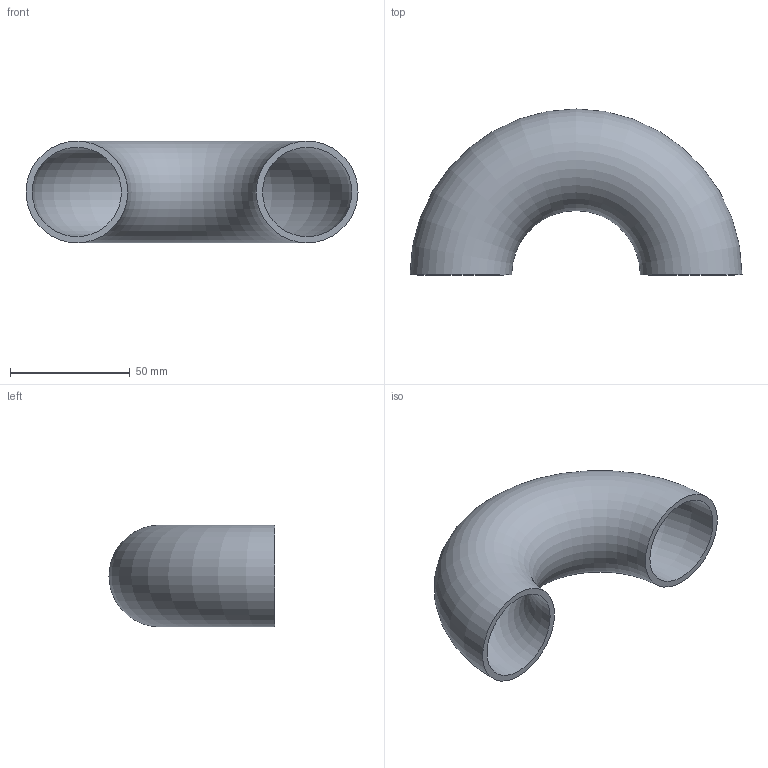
import cadquery as cq

tube_outer_diameter = 42.4
wall_thickness = 2.6
bend_radius = 48.0
bend_angle = 180.0

tube_inner_diameter = tube_outer_diameter - 2 * wall_thickness


def return_bend():
    """Sweep the tube's ring section about the Z axis, from +X through +Y to -X."""
    ring = (
        cq.Workplane("XZ")
        .center(bend_radius, 0)
        .circle(tube_outer_diameter / 2)
        .circle(tube_inner_diameter / 2)
    )
    axis_start = (-bend_radius, 0)
    axis_end = (-bend_radius, 1)
    return ring.revolve(bend_angle, axis_start, axis_end)


result = return_bend()